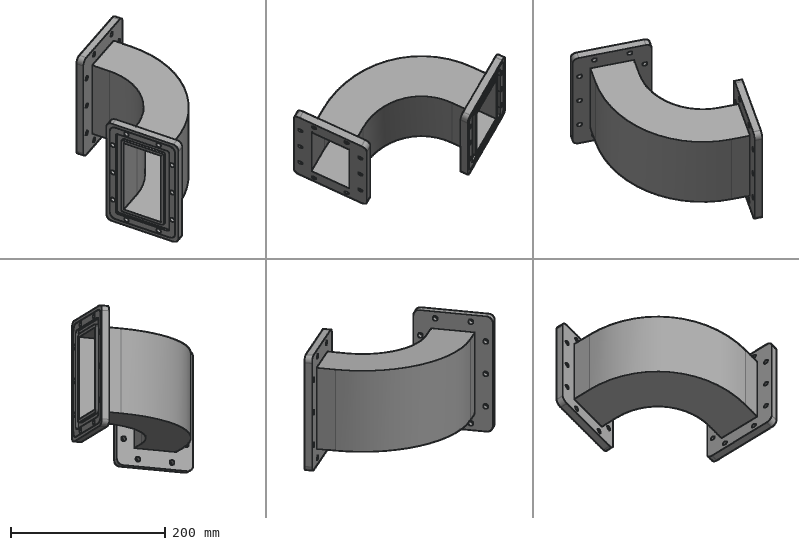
import cadquery as cq

overall_length = 203.2

bore_width = 54.7
bore_height = 109.5
wall = 1.93
tube_width = bore_width + 2 * wall
tube_height = bore_height + 2 * wall

flange_width = 106.3
flange_height = 161.1
flange_thickness = 10.4
flange_corner_radius = 8.1

hole_diameter = 6.5
long_side_hole_offset = 43.7
long_side_hole_pitch = 45.3
short_side_hole_offset = 71.0
short_side_hole_pitch = 47.5

recess_width = 96.1
recess_height = 151.4
recess_corner_radius = 8.5
recess_depth = 0.39
groove_width = 78.6
groove_height = 132.3
groove_depth = 3.7
collar_width = 63.0
collar_height = 118.3
groove_corner_radius = 3.3

straight_length = 35.5
mating_face = -overall_length / 2
tube_axis = overall_length / 2 - flange_width / 2
bend_start = mating_face + straight_length
bend_radius = tube_axis - bend_start

x_face = cq.Plane(origin=(mating_face, tube_axis, 0), xDir=(0, -1, 0), normal=(-1, 0, 0))
y_face = cq.Plane(origin=(tube_axis, mating_face, 0), xDir=(1, 0, 0), normal=(0, -1, 0))


def rounded_block(plane, width, height, depth, corner_radius):
    """Rounded rectangular block reaching from a flange face into the part."""
    outline = cq.Sketch().rect(width, height).vertices().fillet(corner_radius)
    return cq.Workplane(plane).placeSketch(outline).extrude(-depth)


def bent_duct(width, height):
    """Solid rectangular section following the bent path between the flange faces."""
    path = (
        cq.Workplane("XY")
        .moveTo(mating_face, tube_axis)
        .lineTo(bend_start, tube_axis)
        .radiusArc((tube_axis, bend_start), bend_radius)
        .lineTo(tube_axis, mating_face)
    )
    return cq.Workplane(x_face).rect(width, height).sweep(path)


def flange(plane):
    return rounded_block(plane, flange_width, flange_height, flange_thickness, flange_corner_radius)


def bolt_holes(plane):
    """Cylinders for three holes on each long side and two on each short side."""
    return (
        cq.Workplane(plane)
        .rarray(2 * long_side_hole_offset, long_side_hole_pitch, 2, 3)
        .circle(hole_diameter / 2)
        .extrude(-flange_thickness)
        .rarray(short_side_hole_pitch, 2 * short_side_hole_offset, 2, 2)
        .circle(hole_diameter / 2)
        .extrude(-flange_thickness)
    )


def sealing_face_cut(plane):
    """Recess and deeper gasket groove, both leaving the collar around the bore standing."""
    recess = rounded_block(plane, recess_width, recess_height, recess_depth, recess_corner_radius)
    groove = rounded_block(plane, groove_width, groove_height, groove_depth, groove_corner_radius)
    collar = rounded_block(plane, collar_width, collar_height, groove_depth, groove_corner_radius)
    return recess.union(groove).cut(collar)


result = bent_duct(tube_width, tube_height)
for face in (x_face, y_face):
    result = result.union(flange(face))
result = result.cut(bent_duct(bore_width, bore_height))
for face in (x_face, y_face):
    result = result.cut(bolt_holes(face))
result = result.cut(sealing_face_cut(y_face))